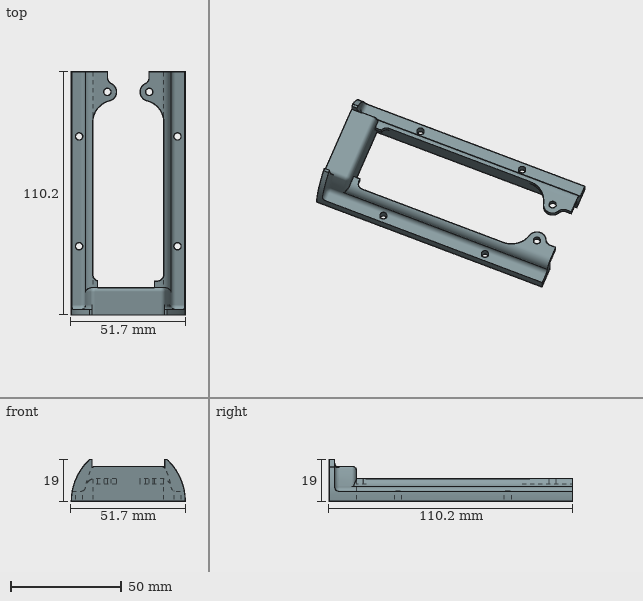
import cadquery as cq
import math

length = 110.2
width = 51.7
height = 19.0
half_width = width / 2

flange_z = 4.5
flange_fillet = 2.1
opening_width = 32.1
rail_inner_x = opening_width / 2
ridge_z = 10.4
ridge_flat_x = 15.0
ridge_radius = 4.3

plate_thickness = 2.5
notch_half_width = 16.4

block_length = 12.5
block_z = 15.9
block_top_half_width = 16.2
block_side_radius = 33.0
block_fillet = 2.0
plate_fillet = 2.0

lug_thickness = 2.5
lug_hole_x = 9.5
lug_hole_y = 101.0
lug_radius = 4.2
lug_neck_x = 9.4
lug_neck_radius = 3.0
lug_blend_radius = 9.9

ledge_end_y = 15.4
ledge_corner_radius = 3.0
left_ledge_x = 13.9
right_ledge_x = 11.8

hole_diameter = 3.2
rail_hole_x = 22.3
rail_hole_y = (31.2, 80.9)

foot_x = 19.4
foot_z = flange_z + flange_fillet
foot_lean_height = 0.3
ridge_center_z = ridge_z - ridge_radius
lug_base_z = ridge_z - lug_thickness

stock_margin = 5.5
stock_x = half_width + stock_margin
stock_z = height + stock_margin
tolerance = 0.1


def on_circle(x, y, radius, angle):
    """Point of a circle at an angle in degrees."""
    a = math.radians(angle)
    return x + radius * math.cos(a), y + radius * math.sin(a)


def ridge_x(z):
    """Half width of the ridge arc at height z."""
    return ridge_flat_x + math.sqrt(ridge_radius**2 - (z - ridge_center_z) ** 2)


def extrude_back(sketch, distance):
    """Close an XZ outline and extrude it from Y = 0 toward +Y."""
    return sketch.close().extrude(-distance)


def make_rail():
    """Right rail: flat flange, concave fillet and rounded ridge."""
    fillet_x = foot_x + flange_fillet
    fillet_mid = on_circle(fillet_x, foot_z, flange_fillet, 225)
    arc_start_z = foot_z + foot_lean_height
    ridge_mid = on_circle(ridge_flat_x, ridge_center_z, ridge_radius, 45)
    inner_z = ridge_center_z + math.sqrt(ridge_radius**2 - (rail_inner_x - ridge_flat_x) ** 2)
    sketch = (
        cq.Workplane("XZ")
        .moveTo(rail_inner_x, 0)
        .lineTo(stock_x, 0)
        .lineTo(stock_x, flange_z)
        .lineTo(fillet_x, flange_z)
        .threePointArc(fillet_mid, (foot_x, foot_z))
        .lineTo(ridge_x(arc_start_z), arc_start_z)
        .threePointArc(ridge_mid, (rail_inner_x, inner_z))
    )
    return extrude_back(sketch, length)


def make_ridge_cap():
    """Full-length cap reaching from the ridge to the middle, later trimmed to lugs and ledges."""
    ridge_mid = on_circle(ridge_flat_x, ridge_center_z, ridge_radius, 60)
    sketch = (
        cq.Workplane("XZ")
        .moveTo(0, lug_base_z)
        .lineTo(ridge_x(lug_base_z), lug_base_z)
        .threePointArc(ridge_mid, (ridge_flat_x, ridge_z))
        .lineTo(0, ridge_z)
    )
    return extrude_back(sketch, length)


def lug_tangent_arc(line_x, radius, direction):
    """Arc tangent to the line x = line_x and to the lug, above it (1) or below it (-1).

    Returns the Y of the arc's center, its middle point and its end on the lug.
    """
    center_x = line_x - radius
    offset_x = lug_hole_x - center_x
    offset_y = -direction * math.sqrt((radius + lug_radius) ** 2 - offset_x**2)
    center_y = lug_hole_y - offset_y
    sweep = math.degrees(math.atan2(offset_y, offset_x))
    mid = on_circle(center_x, center_y, radius, sweep / 2)
    end = on_circle(center_x, center_y, radius, sweep)
    return center_y, mid, end


def make_opening(ledge_x):
    """Half of the central opening between the ledge and the lug."""
    blend_center_y, blend_mid, blend_end = lug_tangent_arc(rail_inner_x, lug_blend_radius, -1)
    neck_center_y, neck_mid, neck_start = lug_tangent_arc(lug_neck_x, lug_neck_radius, 1)

    corner_x = rail_inner_x - ledge_corner_radius
    corner_y = ledge_end_y + ledge_corner_radius
    start_x = max(ledge_x, corner_x)
    start_y = corner_y - math.sqrt(ledge_corner_radius**2 - (start_x - corner_x) ** 2)
    start_angle = math.degrees(math.atan2(start_y - corner_y, start_x - corner_x))
    corner_mid = on_circle(corner_x, corner_y, ledge_corner_radius, start_angle / 2)

    sketch = cq.Workplane("XY").lineTo(ledge_x, 0)
    if ledge_x < corner_x:
        sketch = sketch.lineTo(ledge_x, ledge_end_y)
    return (
        sketch.lineTo(start_x, start_y)
        .threePointArc(corner_mid, (rail_inner_x, corner_y))
        .lineTo(rail_inner_x, blend_center_y)
        .threePointArc(blend_mid, blend_end)
        .threePointArc((lug_hole_x - lug_radius, lug_hole_y), neck_start)
        .threePointArc(neck_mid, (lug_neck_x, neck_center_y))
        .lineTo(lug_neck_x, length)
        .lineTo(0, length)
        .close()
        .extrude(height)
    )


def make_side(ledge_x):
    """Right half of the frame: rail, lug and ledge."""
    return make_rail().union(make_ridge_cap().cut(make_opening(ledge_x)))


def make_block():
    """End block with bulged sides and rounded top and rear edges."""
    sketch = (
        cq.Workplane("XZ")
        .moveTo(-foot_x, 0)
        .lineTo(foot_x, 0)
        .lineTo(foot_x, foot_z)
        .radiusArc((block_top_half_width, block_z), -block_side_radius)
        .lineTo(-block_top_half_width, block_z)
        .radiusArc((-foot_x, foot_z), -block_side_radius)
    )
    block = extrude_back(sketch, block_length)
    top_edges = block.faces(">Z").edges("not <Y").vals()
    side_arcs = block.faces(">Y").edges("%CIRCLE").vals()
    return block.newObject(top_edges + side_arcs).fillet(block_fillet)


def make_envelope():
    """Full-length outer shape: flat base and top, both sides on one circle about the base line."""
    top_x = math.sqrt(half_width**2 - height**2)
    side_mid = on_circle(0, 0, half_width, math.degrees(math.asin(height / half_width)) / 2)
    sketch = (
        cq.Workplane("XZ")
        .moveTo(-half_width, 0)
        .lineTo(half_width, 0)
        .threePointArc(side_mid, (top_x, height))
        .lineTo(-top_x, height)
        .threePointArc((-side_mid[0], side_mid[1]), (-half_width, 0))
    )
    return extrude_back(sketch, length)


def blend_plate(body):
    """Fillet the inner face of the end plate into the flanges and around the block."""
    inner_face = cq.selectors.BoxSelector(
        (-stock_x + tolerance, plate_thickness - tolerance, flange_z - tolerance),
        (stock_x - tolerance, plate_thickness + tolerance, block_z + tolerance),
    )
    edges = [e for e in body.edges(inner_face).vals() if e.BoundingBox().ylen < tolerance]
    return body.newObject(edges).fillet(plate_fillet)


block = make_block()
plate = cq.Workplane("XY").box(2 * stock_x, plate_thickness, stock_z, centered=(True, False, False))
right_side = make_side(right_ledge_x)
left_side = make_side(left_ledge_x).mirror("YZ")
stock = right_side.union(left_side).union(block).union(plate)
frame = blend_plate(stock).intersect(make_envelope())

notch = (
    cq.Workplane("XY", origin=(0, 0, foot_z))
    .box(2 * notch_half_width, plate_thickness + plate_fillet, height, centered=(True, False, False))
    .cut(block)
)

lug_holes = [(side * lug_hole_x, lug_hole_y) for side in (-1, 1)]
rail_holes = [(side * rail_hole_x, y) for side in (-1, 1) for y in rail_hole_y]
holes = cq.Workplane("XY").pushPoints(lug_holes + rail_holes).circle(hole_diameter / 2).extrude(height)

result = frame.cut(notch).cut(holes)